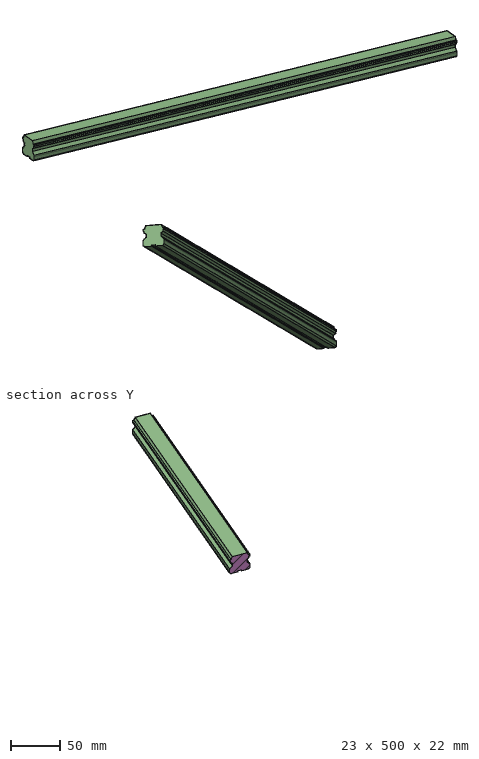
import cadquery as cq
rail_width = 23.0
rail_length = 500.0
rail_height = 22.0

top_flat_width = 16.7
head_side_top = 18.4
head_side_bottom = 16.7

upper_groove_width = 1.7
upper_groove_height = 0.3
lower_groove_width = 1.0
lower_groove_height = 2.1
ball_groove_radius = 1.3

waist_width = 16.1
waist_top = 12.9
waist_bottom = 9.9

foot_side_top = 5.4
shoulder_width = 0.3
shoulder_height = 1.4
bottom_chamfer = 1.6

relief_width = 4.1
relief_depth = 1.2

half_width = rail_width / 2
half_waist = waist_width / 2
upper_groove_end = (half_width - upper_groove_width, head_side_top + upper_groove_height)
lower_groove_end = (half_width - lower_groove_width, head_side_bottom - lower_groove_height)
shoulder_end = (half_width - shoulder_width, foot_side_top + shoulder_height)


def half_section():
    """Right half of the rail section, closed along the vertical centre line."""
    return (
        cq.Workplane("XZ")
        .moveTo(0, relief_depth)
        .lineTo(relief_width / 2, relief_depth)
        .lineTo(relief_width / 2, 0)
        .lineTo(half_width - bottom_chamfer, 0)
        .lineTo(half_width, bottom_chamfer)
        .lineTo(half_width, foot_side_top)
        .lineTo(*shoulder_end)
        .lineTo(half_waist, waist_bottom)
        .lineTo(half_waist, waist_top)
        .lineTo(*lower_groove_end)
        .radiusArc((half_width, head_side_bottom), ball_groove_radius)
        .lineTo(half_width, head_side_top)
        .radiusArc(upper_groove_end, ball_groove_radius)
        .lineTo(top_flat_width / 2, rail_height)
        .lineTo(0, rail_height)
        .close()
    )


half_rail = half_section().extrude(-rail_length)
result = half_rail.union(half_rail.mirror("YZ")).clean()